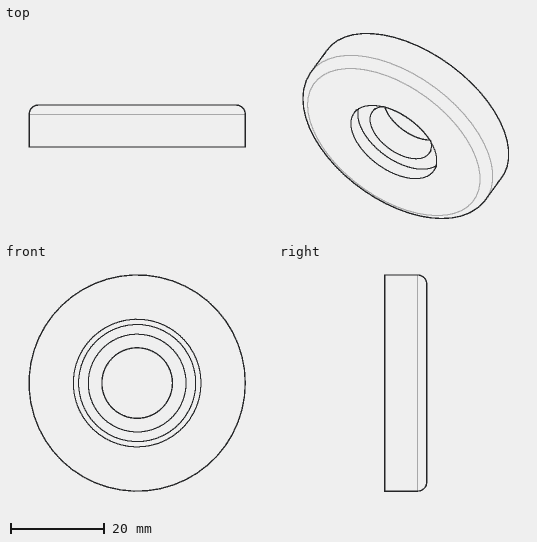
import cadquery as cq

outer_diameter = 46.2
thickness = 9.0
bore_diameter = 15.0

rim_round = 2.0

recess_mouth_diameter = 27.25
recess_floor_diameter = 25.0
hub_diameter = 20.9
recess_depth = 3.0

counterbore_diameter = 21.0
counterbore_depth = 3.0

front_y = -thickness / 2
back_y = thickness / 2
recess_floor_y = front_y + recess_depth
counterbore_floor_y = back_y - counterbore_depth


def ring_body():
    """Revolve the half section (radius, Y) about the Y axis."""
    bore_radius = bore_diameter / 2
    outer_radius = outer_diameter / 2
    section = (
        cq.Workplane("XY")
        .moveTo(bore_radius, front_y)
        .lineTo(hub_diameter / 2, front_y)
        .lineTo(hub_diameter / 2, recess_floor_y)
        .lineTo(recess_floor_diameter / 2, recess_floor_y)
        .lineTo(recess_mouth_diameter / 2, front_y)
        .lineTo(outer_radius, front_y)
        .lineTo(outer_radius, back_y - rim_round)
        .radiusArc((outer_radius - rim_round, back_y), -rim_round)
        .lineTo(counterbore_diameter / 2, back_y)
        .lineTo(counterbore_diameter / 2, counterbore_floor_y)
        .lineTo(bore_radius, counterbore_floor_y)
        .close()
    )
    return section.revolve(360, (0, 0, 0), (0, 1, 0))


result = ring_body()